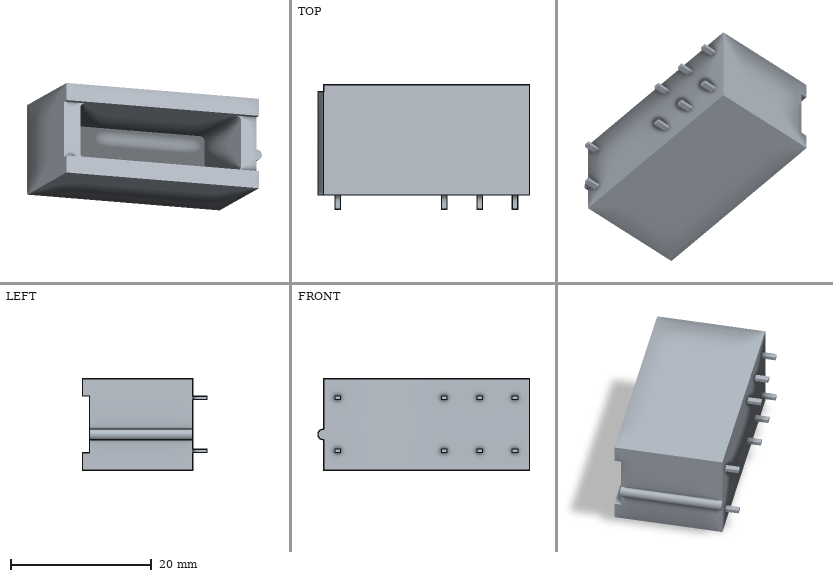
import cadquery as cq

length = 30.05
depth = 17.7
height = 13.0

pin_length = 2.0
pin_width = 0.8
pin_thickness = 0.5
first_pin_x = 2.82
wide_pin_gap = 15.12
pin_pitch = 5.02
second_pin_x = first_pin_x + wide_pin_gap
pin_centres_x = [first_pin_x] + [second_pin_x + i * pin_pitch for i in range(3)]

rib_radius = 0.75
rib_z = 5.08

wall_x = 0.8
front_y = pin_length
housing_length = length - wall_x
housing_depth = depth - front_y

rail_height = 2.5
channel_depth = 1.0
channel_bottom = rail_height
channel_top = height - rail_height
channel_height = channel_top - channel_bottom
channel_y = depth - channel_depth

cavity_left = 3.15
cavity_right = 27.6
cavity_length = cavity_right - cavity_left
cavity_corner_radius = 0.75
floor_thickness = 0.15


def box_at(x, y, z, size_x, size_y, size_z):
    """Box given by its lowest corner and its sizes."""
    return cq.Workplane("XY").box(size_x, size_y, size_z, centered=False).translate((x, y, z))


def make_rib():
    """Round bar along Y, half sunk in the wall and ending at the back channel."""
    return (
        cq.Workplane("XZ", origin=(rib_radius, channel_y, rib_z))
        .circle(rib_radius)
        .extrude(channel_y - front_y)
    )


def make_housing():
    """Box with the side rib, the back channel and the cavity."""
    body = box_at(wall_x, front_y, 0, housing_length, housing_depth, height)
    channel = box_at(wall_x, channel_y, channel_bottom, housing_length, channel_depth, channel_height)
    cavity_start = front_y + floor_thickness
    cavity = box_at(
        cavity_left, cavity_start, channel_bottom,
        cavity_length, channel_y - cavity_start, channel_height,
    ).edges("|Y").fillet(cavity_corner_radius)
    return body.union(make_rib()).cut(channel).cut(cavity)


def make_pin(centre_x, bottom_z):
    """Flat pin standing out from the front face."""
    return box_at(centre_x - pin_width / 2, 0, bottom_z, pin_width, pin_length, pin_thickness)


housing = make_housing()

pins = []
for row_z in (channel_bottom, channel_top - pin_thickness):
    for pin_x in pin_centres_x:
        pins.append(make_pin(pin_x, row_z).val())

result = cq.Compound.makeCompound([housing.val(), *pins])